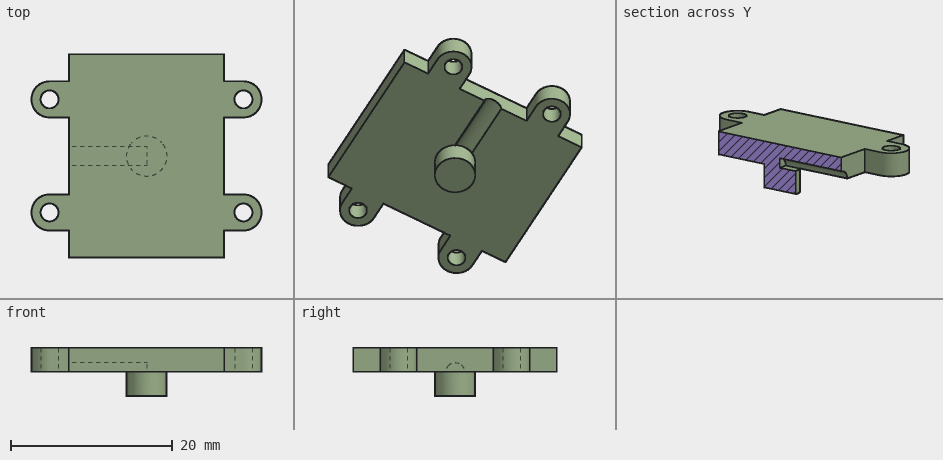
import cadquery as cq

plate_width = 19.2
plate_length = 25.2
overall_height = 6.0
plate_thickness = overall_height / 2

overall_width = 28.5
ear_width = 4.5
ear_spacing_y = 14.0
ear_hole_diameter = 2.2
ear_spacing_x = overall_width - ear_width

boss_diameter = 5.0
boss_height = overall_height - plate_thickness

groove_radius = 1.17
groove_length = plate_width / 2


def make_plate():
    """Rectangular plate with its underside at Z = 0."""
    return cq.Workplane("XY").box(
        plate_width, plate_length, plate_thickness, centered=(True, True, False)
    )


def make_ears():
    """Slot-shaped bars across the plate; their round ends form the ears."""
    return (
        cq.Workplane("XY")
        .pushPoints([(0, -ear_spacing_y / 2), (0, ear_spacing_y / 2)])
        .slot2D(overall_width, ear_width)
        .extrude(plate_thickness)
    )


def make_ear_holes():
    """Through holes concentric with the round ear ends."""
    return (
        cq.Workplane("XY")
        .rarray(ear_spacing_x, ear_spacing_y, 2, 2)
        .circle(ear_hole_diameter / 2)
        .extrude(plate_thickness)
    )


def make_boss():
    """Cylinder hanging below the plate center."""
    return cq.Workplane("XY").circle(boss_diameter / 2).extrude(-boss_height)


def make_groove():
    """Cylinder along X whose upper half cuts the plate underside."""
    return (
        cq.Workplane("YZ", origin=(-plate_width / 2, 0, 0))
        .circle(groove_radius)
        .extrude(groove_length)
    )


result = (
    make_plate()
    .union(make_ears())
    .cut(make_ear_holes())
    .cut(make_groove())
    .union(make_boss())
)